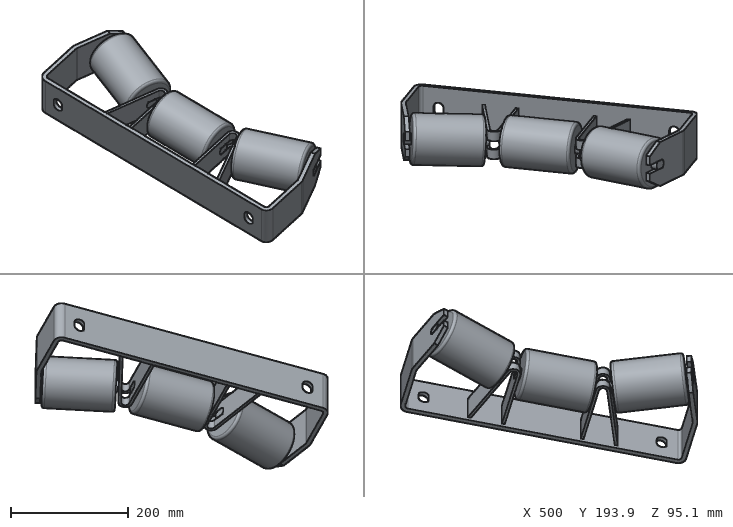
import cadquery as cq
import math


frame_length = 500.0
strip_width = 80.0
frame_thickness = 8.0
frame_bend_radius = 14.0
trough_angle = 20.0
arm_tip_length = 30.0
arm_chamfer_angle = 30.0
mount_hole_spacing = 417.0
mount_hole_width = 18.0
mount_hole_height = 26.0
mount_hole_z = 39.0

bracket_width = 50.0
bracket_thickness = 5.0
bracket_bend_radius = 12.0

roller_diameter = 89.0
roller_length = 125.0
roller_edge_radius = 5.0
roller_clearance = 4.0
shaft_diameter = 20.0
shaft_flats = 15.0
shoulder_length = 3.0
middle_roller_y = 102.0
middle_roller_z = 32.0
side_roller_y = 132.09
side_roller_z = 35.42
side_roller_tilt = 2.75

half_gap = roller_length / 2 + roller_clearance
bracket_bend_x = half_gap + bracket_bend_radius
bracket_bend_y = 117.7
bracket_bottom_z = middle_roller_z - bracket_width / 2

sin_trough = math.sin(math.radians(trough_angle))
cos_trough = math.cos(math.radians(trough_angle))
roller_direction = (cos_trough, sin_trough)
arm_direction = (-sin_trough, cos_trough)

bend_offset = bracket_bend_x * cos_trough + bracket_bend_y * sin_trough
side_roller_offset = bend_offset + bracket_bend_radius + half_gap
side_roller_x = (side_roller_offset - side_roller_y * sin_trough) / cos_trough

bracket_shaft_reach = half_gap + bracket_thickness
frame_shaft_reach = half_gap + frame_thickness

cut_size = 4 * strip_width
pick_margin = 1.0


def along(point, direction, distance):
    """Point moved by a distance along a unit direction."""
    return (point[0] + distance * direction[0], point[1] + distance * direction[1])


def mirrored(points):
    return [(-x, y) for x, y in points]


def place_at_middle(shape):
    return shape.translate((0, middle_roller_y, middle_roller_z))


def place_at_side(shape, side):
    """Move a shape from the roller's own axes (X along the shaft, outward) to a side roller's place."""
    placed = (
        shape.rotate((0, 0, 0), (0, 1, 0), -side_roller_tilt)
        .rotate((0, 0, 0), (0, 0, 1), trough_angle)
        .translate((side_roller_x, side_roller_y, side_roller_z))
    )
    return placed if side > 0 else placed.mirror("YZ")


def shaft_slot(start, end):
    """Cutter for a shaft seat, open toward +Y, between two places along the shaft."""
    length = end - start
    seat = cq.Workplane("YZ", origin=(start, 0, 0)).circle(shaft_diameter / 2).extrude(length)
    opening = (
        cq.Workplane("YZ", origin=(start, 0, 0))
        .center(cut_size / 2, 0)
        .rect(cut_size, shaft_diameter)
        .extrude(length)
    )
    between_flats = cq.Workplane("XY").box(2 * cut_size, 2 * cut_size, shaft_flats)
    return seat.union(opening).intersect(between_flats)


arm_face_point = along((side_roller_x, side_roller_y), roller_direction, frame_shaft_reach)
arm_end_outer = along(arm_face_point, arm_direction, arm_tip_length)
arm_end_inner = along(arm_end_outer, roller_direction, -frame_thickness)


def chamfer_arm(frame, side):
    """Cut the two corners off the free end of one arm."""
    rise = arm_tip_length * math.tan(math.radians(arm_chamfer_angle))
    plane = cq.Plane(
        origin=(*arm_face_point, 0),
        xDir=(*arm_direction, 0),
        normal=(*roller_direction, 0),
    )
    for edge, inward in ((0, 1), (strip_width, -1)):
        corner = (
            cq.Workplane(plane)
            .polyline([(0, edge), (arm_tip_length, edge), (arm_tip_length, edge + inward * rise)])
            .close()
            .extrude(2 * frame_thickness, both=True)
        )
        frame = frame.cut(corner if side > 0 else corner.mirror("YZ"))
    return frame


def make_frame():
    half = frame_length / 2
    inner = half - frame_thickness
    outer_knee_y = arm_end_outer[1] - (half - arm_end_outer[0]) / sin_trough * cos_trough
    inner_knee_y = arm_end_inner[1] - (inner - arm_end_inner[0]) / sin_trough * cos_trough
    outer_side = [(half, 0), (half, outer_knee_y), arm_end_outer]
    inner_side = [arm_end_inner, (inner, inner_knee_y), (inner, frame_thickness)]
    outline = outer_side + inner_side + mirrored(inner_side[::-1]) + mirrored(outer_side[::-1])
    frame = cq.Workplane("XY").polyline(outline).close().extrude(strip_width)

    inner_bend_radius = frame_bend_radius - frame_thickness
    for corner_x, corner_y, radius in (
        (half, 0, frame_bend_radius),
        (half, outer_knee_y, frame_bend_radius),
        (inner, frame_thickness, inner_bend_radius),
        (inner, inner_knee_y, inner_bend_radius),
    ):
        for x in (corner_x, -corner_x):
            low = (x - pick_margin, corner_y - pick_margin, 0)
            high = (x + pick_margin, corner_y + pick_margin, strip_width)
            nearby = cq.selectors.BoxSelector(low, high)
            frame = frame.edges("|Z").edges(nearby).fillet(radius)

    mount_holes = (
        cq.Workplane("XZ")
        .center(0, mount_hole_z)
        .pushPoints([(-mount_hole_spacing / 2, 0), (mount_hole_spacing / 2, 0)])
        .slot2D(mount_hole_height, mount_hole_width, 90)
        .extrude(-frame_thickness)
    )
    frame = frame.cut(mount_holes)

    arm_slot = shaft_slot(roller_length / 2, frame_shaft_reach + roller_clearance)
    for side in (1, -1):
        frame = chamfer_arm(frame, side)
        frame = frame.cut(place_at_side(arm_slot, side))
    return frame


def make_bracket(side):
    """Folded strip with an upright leg by the middle roller and a sloping leg by the side roller."""
    bend = (bracket_bend_x, bracket_bend_y)
    inner_radius = bracket_bend_radius - bracket_thickness

    def leg_foot_x(radius):
        return (bend_offset + radius - frame_thickness * sin_trough) / cos_trough

    bracket = (
        cq.Workplane("XY", origin=(0, 0, bracket_bottom_z))
        .moveTo(half_gap, frame_thickness)
        .lineTo(half_gap, bracket_bend_y)
        .threePointArc(
            along(bend, (0, 1), bracket_bend_radius),
            along(bend, roller_direction, bracket_bend_radius),
        )
        .lineTo(leg_foot_x(bracket_bend_radius), frame_thickness)
        .lineTo(leg_foot_x(inner_radius), frame_thickness)
        .lineTo(*along(bend, roller_direction, inner_radius))
        .threePointArc(
            along(bend, (0, 1), inner_radius),
            along(bend, (-1, 0), inner_radius),
        )
        .lineTo(bracket_bend_x - inner_radius, frame_thickness)
        .close()
        .extrude(bracket_width)
    )
    if side < 0:
        bracket = bracket.mirror("YZ")

    slot_depth = half_gap + bracket_bend_radius
    middle_slot = place_at_middle(shaft_slot(roller_length / 2, slot_depth))
    if side < 0:
        middle_slot = middle_slot.mirror("YZ")
    side_slot = place_at_side(shaft_slot(-slot_depth, -roller_length / 2), side)
    return bracket.cut(middle_slot).cut(side_slot)


def make_roller(left_reach, right_reach):
    """Roller along X with a shaft whose ends carry two flats."""
    drum = (
        cq.Workplane("YZ", origin=(-roller_length / 2, 0, 0))
        .circle(roller_diameter / 2)
        .extrude(roller_length)
        .edges()
        .fillet(roller_edge_radius)
    )
    flats_start = roller_length / 2 + shoulder_length
    shoulder = (
        cq.Workplane("YZ", origin=(-flats_start, 0, 0))
        .circle(shaft_diameter / 2)
        .extrude(2 * flats_start)
    )
    between_flats = cq.Workplane("XY").box(2 * cut_size, 2 * cut_size, shaft_flats)
    shaft = (
        cq.Workplane("YZ", origin=(-left_reach, 0, 0))
        .circle(shaft_diameter / 2)
        .extrude(left_reach + right_reach)
        .intersect(between_flats)
    )
    return drum.union(shoulder).union(shaft)


frame = make_frame()
brackets = [make_bracket(side) for side in (-1, 1)]
middle_roller = place_at_middle(make_roller(bracket_shaft_reach, bracket_shaft_reach))
side_rollers = [
    place_at_side(make_roller(bracket_shaft_reach, frame_shaft_reach), side) for side in (-1, 1)
]

bodies = [frame, *brackets, middle_roller, *side_rollers]
result = cq.Compound.makeCompound([body.solids().val() for body in bodies])